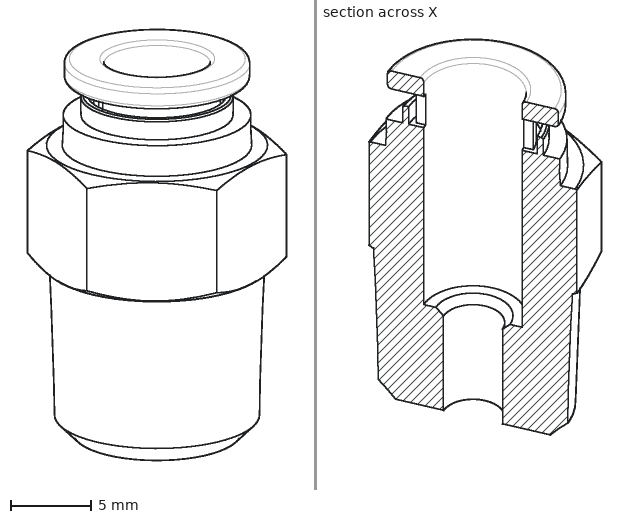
import cadquery as cq
import math

height = 24.7
tip_chamfer_height = 1.2
hex_bottom = 11.02
hex_top = 19.0
collar_top = 21.0
ring_top = 22.3
flange_bottom = 23.32

hex_across_flats = 14.0
hex_across_corners = hex_across_flats / math.cos(math.pi / 6)
hex_top_face_radius = 6.9
hex_top_bevel_drop = 0.5
hex_bottom_face_radius = 6.77
hex_bottom_bevel_rise = 0.75

tip_radius = 5.2
thread_bottom_radius = 6.4
thread_top_radius = 6.72

collar_bottom_radius = 5.9
collar_top_radius = 5.85
ring_radius = 4.75
ring_inner_radius = 4.32
ring_chamfer = 0.12
neck_radius = 3.95
flange_radius = 5.78
flange_rounding = 0.3

tube_bore_radius = 3.3
tube_bore_floor = 7.65
lip_rounding = 0.27
flow_bore_radius = 1.98
flow_chamfer = 0.52
slot_width = 0.6
slot_bottom = collar_top


def frustum(bottom_z, bottom_radius, top_z, top_radius):
    """Solid of revolution about Z with straight sides between two levels."""
    outline = [(0, bottom_z), (bottom_radius, bottom_z), (top_radius, top_z), (0, top_z)]
    return cq.Workplane("XZ").polyline(outline).close().revolve(360, (0, 0), (0, 1))


def cylinder(radius, bottom_z, top_z):
    return frustum(bottom_z, radius, top_z, radius)


def hex_nut():
    """Hexagon with corners on X, its corners beveled by a cone at both ends."""
    corner_radius = hex_across_corners / 2
    prism = (
        cq.Workplane("XY")
        .workplane(offset=hex_bottom)
        .polygon(6, hex_across_corners)
        .extrude(hex_top - hex_bottom)
    )
    envelope_outline = [
        (0, hex_bottom),
        (hex_bottom_face_radius, hex_bottom),
        (corner_radius, hex_bottom + hex_bottom_bevel_rise),
        (corner_radius, hex_top - hex_top_bevel_drop),
        (hex_top_face_radius, hex_top),
        (0, hex_top),
    ]
    envelope = cq.Workplane("XZ").polyline(envelope_outline).close().revolve(360, (0, 0), (0, 1))
    return prism.intersect(envelope)


def threaded_end():
    tip = frustum(0, tip_radius, tip_chamfer_height, thread_bottom_radius)
    taper = frustum(tip_chamfer_height, thread_bottom_radius, hex_bottom, thread_top_radius)
    return tip.union(taper)


def upper_body():
    """Collar, ring, neck and rounded flange stacked above the hexagon."""
    collar = frustum(hex_top, collar_bottom_radius, collar_top, collar_top_radius)
    ring = cylinder(ring_radius, collar_top, ring_top).faces(">Z").edges().chamfer(ring_chamfer)
    neck = cylinder(neck_radius, ring_top, flange_bottom)
    flange = cylinder(flange_radius, flange_bottom, height).edges("%CIRCLE").fillet(flange_rounding)
    return collar.union(ring).union(neck).union(flange)


def sleeve_clearance():
    """Annular gap between the ring and the release sleeve, as deep as the ring."""
    gap = cylinder(ring_inner_radius, collar_top, ring_top)
    return gap.cut(cylinder(neck_radius, collar_top, ring_top))


def bores():
    """Tube bore with a rounded mouth, and a through bore chamfered at the tube stop."""
    mouth_radius = tube_bore_radius + lip_rounding
    lip_middle = lip_rounding * (1 - math.sqrt(0.5))
    outline = (
        cq.Workplane("XZ")
        .moveTo(0, 0)
        .lineTo(flow_bore_radius, 0)
        .lineTo(flow_bore_radius, tube_bore_floor - flow_chamfer)
        .lineTo(flow_bore_radius + flow_chamfer, tube_bore_floor)
        .lineTo(tube_bore_radius, tube_bore_floor)
        .lineTo(tube_bore_radius, height - lip_rounding)
        .threePointArc((tube_bore_radius + lip_middle, height - lip_middle), (mouth_radius, height))
        .lineTo(0, height)
        .close()
    )
    return outline.revolve(360, (0, 0), (0, 1))


def sleeve_slots():
    """Opposite slots along Y, cut through the sleeve wall from the gap floor to the flange."""
    slot_bar = (
        cq.Workplane("XY")
        .workplane(offset=slot_bottom)
        .rect(slot_width, 2 * flange_radius)
        .extrude(flange_bottom - slot_bottom)
    )
    return slot_bar.intersect(cylinder(neck_radius, slot_bottom, flange_bottom))


body = threaded_end().union(hex_nut()).union(upper_body())
result = body.cut(sleeve_clearance()).cut(bores()).cut(sleeve_slots())